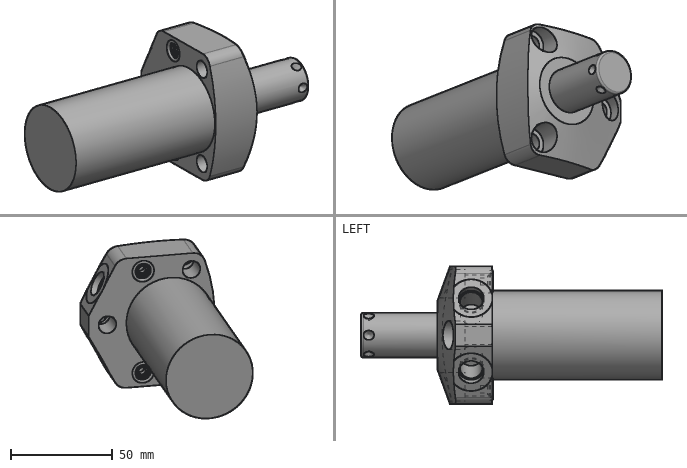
import cadquery as cq
import math


overall_length = 149
barrel_diameter = 44.3
barrel_length = 84.0
rod_diameter = 22.2
rod_end_y = overall_length - barrel_length
rod_end_fillet = 1.0

dimple_count = 6
dimple_diameter = 5.2
dimple_depth = dimple_diameter / 2
dimple_end_distance = 3.9

flange_thickness = 27.1
flange_half_height = 34.1
nose_x = -41.3
nose_half_width = 5.5
flank_angle = math.radians(62)
bow_x = 23.0
bow_radius = 89.4
corner_radius = 6.5

cone_flat_radius = 17.1
cone_angle = math.radians(20)
cone_outer_radius = 59.6

mount_points = [(-31.7, 0), (11.0, 25.5), (11.0, -25.5)]
mount_diameter = 9
mount_head_diameter = 14.2
mount_seat_y = flange_thickness / 2

port_half_spacing = 18.3
port_y = 10.5
port_face_diameter = 21.2
port_face_depth = 0.1
port_mouth_diameter = 12.5
port_mouth_depth = 3.7
port_bore_diameter = 11.0
port_taper_depth = 0.3
port_depth = 17.1

seal_x = -13.5
seal_half_spacing = 26.7
seal_groove_radius = 5.5
seal_groove_depth = 1.2
seal_ring_radius = 4.8
seal_section_radius = 0.9
seal_protrusion = 0.5
seal_step_radius = 2.7
seal_step_chamfer = 0.6
seal_step_depth = 2.4
seal_bore_radius = 1.8
seal_bore_depth = 6


def revolve_about_y(profile):
    """Solid of revolution about Y from (radius, y) points."""
    return cq.Workplane("XY").polyline(profile).close().revolve(360, (0, 0, 0), (0, 1, 0))


def revolve_along(profile, origin, direction):
    """Solid of revolution from (radius, distance) points, along a direction from an origin."""
    start = cq.Plane(origin=origin, normal=direction)
    upright = revolve_about_y(profile).rotate((0, 0, 0), (1, 0, 0), 90)
    return cq.Workplane(upright.val().moved(cq.Location(start)))


def cylinder_along_y(x, z, radius, start_y, end_y):
    """Cylinder parallel to Y, centred on (x, z)."""
    start = cq.Vector(x, start_y, z)
    return cq.Workplane(cq.Solid.makeCylinder(radius, end_y - start_y, start, cq.Vector(0, 1, 0)))


def make_flange():
    shoulder_x = nose_x + (flange_half_height - nose_half_width) / math.tan(flank_angle)
    bow_drop = bow_radius - math.sqrt(bow_radius**2 - flange_half_height**2)
    bow_end_x = bow_x - bow_drop
    plate = (
        cq.Workplane("XZ")
        .moveTo(nose_x, nose_half_width)
        .lineTo(shoulder_x, flange_half_height)
        .lineTo(bow_end_x, flange_half_height)
        .threePointArc((bow_x, 0), (bow_end_x, -flange_half_height))
        .lineTo(shoulder_x, -flange_half_height)
        .lineTo(nose_x, -nose_half_width)
        .close()
        .extrude(-flange_thickness)
    )
    plate = plate.edges("|Y and (not <X)").fillet(corner_radius)
    cone_drop = (cone_outer_radius - cone_flat_radius) * math.tan(cone_angle)
    envelope = revolve_about_y([
        (0, 0),
        (cone_outer_radius, 0),
        (cone_outer_radius, flange_thickness - cone_drop),
        (cone_flat_radius, flange_thickness),
        (0, flange_thickness),
    ])
    return plate.intersect(envelope)


def make_barrel():
    return cylinder_along_y(0, 0, barrel_diameter / 2, -barrel_length, 0)


def make_rod():
    rod_radius = rod_diameter / 2
    rod = cylinder_along_y(0, 0, rod_radius, 0, rod_end_y)
    rod = rod.faces(">Y").edges().fillet(rod_end_fillet)
    dimple_profile = [(0, 0), (dimple_diameter / 2, 0), (0, dimple_depth)]
    for index in range(dimple_count):
        angle = 2 * math.pi * index / dimple_count
        across, up = math.cos(angle), math.sin(angle)
        origin = (rod_radius * across, rod_end_y - dimple_end_distance, rod_radius * up)
        rod = rod.cut(revolve_along(dimple_profile, origin, (-across, 0, -up)))
    return rod


def cut_mounting_holes(body):
    for x, z in mount_points:
        body = body.cut(cylinder_along_y(x, z, mount_diameter / 2, 0, flange_thickness))
        body = body.cut(cylinder_along_y(x, z, mount_head_diameter / 2, mount_seat_y, flange_thickness))
    return body


def cut_flank_ports(body):
    bore_radius = port_bore_diameter / 2
    mouth_radius = port_mouth_diameter / 2
    face_radius = port_face_diameter / 2
    profile = [
        (0, 0),
        (face_radius, 0),
        (face_radius, port_face_depth),
        (mouth_radius, port_face_depth),
        (mouth_radius, port_mouth_depth),
        (bore_radius, port_mouth_depth + port_taper_depth),
        (bore_radius, port_depth),
        (0, port_depth),
    ]
    port_x = nose_x + (port_half_spacing - nose_half_width) / math.tan(flank_angle)
    for side in (1, -1):
        inward = (math.sin(flank_angle), 0, -side * math.cos(flank_angle))
        body = body.cut(revolve_along(profile, (port_x, port_y, side * port_half_spacing), inward))
    return body


def add_sealed_ports(body):
    profile = [
        (0, 0),
        (seal_groove_radius, 0),
        (seal_groove_radius, seal_groove_depth),
        (seal_step_radius + seal_step_chamfer, seal_groove_depth),
        (seal_step_radius, seal_groove_depth + seal_step_chamfer),
        (seal_step_radius, seal_step_depth),
        (seal_bore_radius, seal_step_depth),
        (seal_bore_radius, seal_bore_depth),
        (0, seal_bore_depth),
    ]
    ring_y = seal_section_radius - seal_protrusion
    for side in (1, -1):
        z = side * seal_half_spacing
        body = body.cut(revolve_along(profile, (seal_x, 0, z), (0, 1, 0)))
        ring = cq.Solid.makeTorus(
            seal_ring_radius, seal_section_radius, cq.Vector(seal_x, ring_y, z), cq.Vector(0, 1, 0)
        )
        body = body.union(cq.Workplane(ring))
    return body


flange = cut_mounting_holes(make_flange())
flange = cut_flank_ports(flange)
flange = add_sealed_ports(flange)
result = flange.union(make_barrel()).union(make_rod())